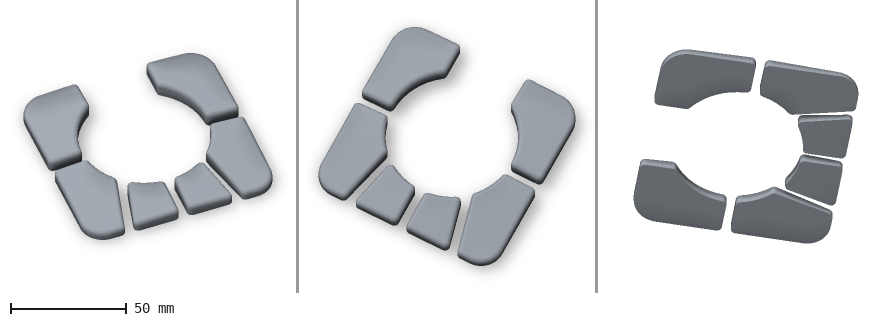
import cadquery as cq
import math

total_length = 86.4
half_width = 88.37 / 2
left_side = -39.1
right_side = left_side + total_length
opening_radius = 28.7

pad_gap = 4.0
key_gap = 4.2
pad_gap_x = 3.0
left_pad_end_y = 15.8
slant_angle = math.radians(14.0)
slant_outer_y = 25.4

left_corner_radius = 11.3
right_corner_radius = 10.3
upright_radius = 2.1
rim_radius = 1.92

opening_height = 6.95
pad_gap_height = 5.88
left_end_height = 5.95
left_corner_height = 4.57
right_corner_height = 3.85
key_gap_height = 5.5

upright_min_centre = 1.0
rim_min_centre = 3.6
layout_reach = 100.0


def opening_point(bearing):
    """Point of the opening's upper edge in the given direction from the centre."""
    x = opening_radius * math.cos(bearing)
    y = opening_radius * math.sin(bearing)
    return cq.Vector(x, y, opening_height)


def slant_bearing(offset):
    """Bearing at which a line beside the middle of the slanted gap reaches the opening."""
    distance = (slant_outer_y - right_side * math.tan(slant_angle)) * math.cos(slant_angle) + offset
    return slant_angle + math.asin(distance / opening_radius)


def slant_side_point(offset):
    """Point where a line beside the middle of the slanted gap reaches the right side."""
    y = slant_outer_y + offset / math.cos(slant_angle)
    key_y = key_gap / 2
    share = (y - key_y) / (half_width - key_y)
    return cq.Vector(right_side, y, key_gap_height + share * (right_corner_height - key_gap_height))


def dropped(point):
    """The point straight below, on the underside."""
    return cq.Vector(point.x, point.y, 0)


def sharp_pad(first_bearing, last_bearing, outer_points):
    """Pad with sharp edges: an arc of the opening, then straight sides through the outer points.

    The top is one smooth surface spanned by its sloping edges.
    """
    arc_points = [
        opening_point(first_bearing),
        opening_point((first_bearing + last_bearing) / 2),
        opening_point(last_bearing),
    ]
    corners = [arc_points[-1]] + outer_points + [arc_points[0]]
    sides = list(zip(corners, corners[1:]))

    top_edges = [cq.Edge.makeThreePointArc(*arc_points)]
    top_edges += [cq.Edge.makeLine(start, end) for start, end in sides]
    base_edges = [cq.Edge.makeThreePointArc(*[dropped(point) for point in arc_points])]
    base_edges += [cq.Edge.makeLine(dropped(start), dropped(end)) for start, end in sides]

    walls = [cq.Face.makeRuledSurface(low, high) for low, high in zip(base_edges, top_edges)]
    underside = cq.Face.makeFromWires(cq.Wire.assembleEdges(base_edges))
    top = cq.Face.makeNSidedSurface(top_edges, [])
    shell = cq.Shell.makeShell(walls + [underside, top])
    return cq.Workplane(cq.Solid.makeSolid(shell).fix())


def edges_centred_between(pad, low, high):
    """Edges whose centres lie between two heights."""
    layer = cq.selectors.BoxSelector(
        (-layout_reach, -layout_reach, low),
        (layout_reach, layout_reach, high),
    )
    return pad.edges(layer)


def upright_edges(pad):
    return edges_centred_between(pad, upright_min_centre, rim_min_centre)


def round_rim(pad):
    """Round the edge all around the top."""
    return edges_centred_between(pad, rim_min_centre, layout_reach).fillet(rim_radius)


def round_corner_pad(pad, corner, corner_radius):
    """Round a corner pad, with the larger radius on the upright edge at its outer corner."""
    at_corner = cq.selectors.NearestToPointSelector((corner.x, corner.y, corner.z / 2))
    corner_edge = pad.edges(at_corner).val()
    other_edges = [edge for edge in upright_edges(pad).vals() if not edge.isSame(corner_edge)]
    pad = pad.newObject(other_edges).fillet(upright_radius)
    pad = pad.edges(at_corner).fillet(corner_radius)
    return round_rim(pad)


def left_corner_pad():
    gap_x = pad_gap_x - pad_gap / 2
    corner = cq.Vector(left_side, half_width, left_corner_height)
    outer_points = [
        cq.Vector(left_side, left_pad_end_y, left_end_height),
        corner,
        cq.Vector(gap_x, half_width, pad_gap_height),
    ]
    first_bearing = math.acos(gap_x / opening_radius)
    last_bearing = math.pi - math.asin(left_pad_end_y / opening_radius)
    pad = sharp_pad(first_bearing, last_bearing, outer_points)
    return round_corner_pad(pad, corner, left_corner_radius)


def right_corner_pad():
    gap_x = pad_gap_x + pad_gap / 2
    corner = cq.Vector(right_side, half_width, right_corner_height)
    outer_points = [
        cq.Vector(gap_x, half_width, pad_gap_height),
        corner,
        slant_side_point(pad_gap / 2),
    ]
    first_bearing = slant_bearing(pad_gap / 2)
    last_bearing = math.acos(gap_x / opening_radius)
    pad = sharp_pad(first_bearing, last_bearing, outer_points)
    return round_corner_pad(pad, corner, right_corner_radius)


def key_pad():
    """Small pad between a right corner pad and the XZ plane."""
    outer_points = [
        slant_side_point(-pad_gap / 2),
        cq.Vector(right_side, key_gap / 2, key_gap_height),
    ]
    first_bearing = math.asin(key_gap / 2 / opening_radius)
    last_bearing = slant_bearing(-pad_gap / 2)
    pad = sharp_pad(first_bearing, last_bearing, outer_points)
    return round_rim(upright_edges(pad).fillet(upright_radius))


bodies = []
for pad in (left_corner_pad(), right_corner_pad(), key_pad()):
    solid = pad.solids().val()
    bodies += [solid, solid.mirror("XZ")]

result = cq.Compound.makeCompound(bodies)